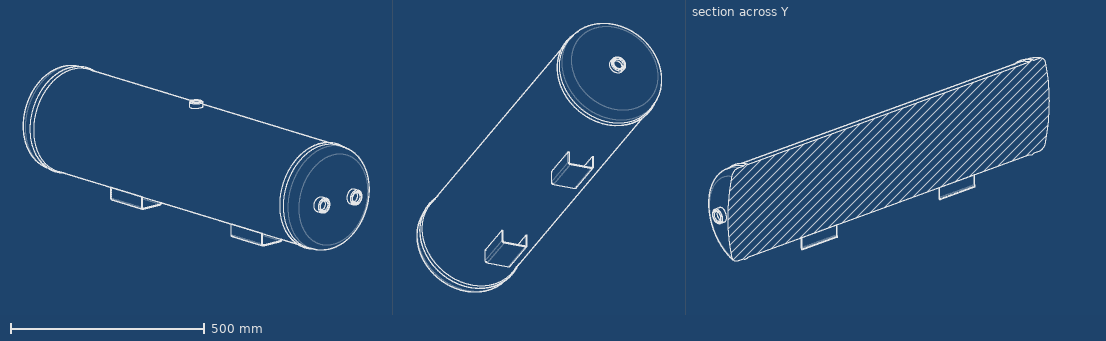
import cadquery as cq
import math

SHELL_RADIUS = 276 / 2
BEAD_RADIUS = 282 / 2
BEAD_INNER_X = 472.5
BEAD_WIDTH = 14
KNUCKLE_START_X = 504.5
KNUCKLE_RADIUS = 23
DOME_RADIUS = 510

END_PORT_DIAMETER = 40
END_PORT_BORE = 26.4
END_PORT_FACE_X = 1111 / 2
END_PORT_OFFSET = 56
TOP_PORT_DIAMETER = 35
TOP_PORT_BORE = 20.95
TOP_PORT_FACE_Z = 152
PORT_LENGTH = 35
PORT_CHAMFER = 2.5
COUNTERSINK = 2.5
BORE_DEPTH = 12
DRILL_POINT_ANGLE = 118

FOOT_BOTTOM = -170
FOOT_TOP = -124
FOOT_LENGTH = 118
FOOT_WIDTH = 70
FOOT_SHEET = 3
FOOT_BEND_RADIUS = 6
FOOT_SPACING = 462


def make_head():
    """Domed +X head: weld bead, straight flange, knuckle and dome, revolved about X."""
    bead_outer_x = BEAD_INNER_X + BEAD_WIDTH
    knuckle_centre_y = SHELL_RADIUS - KNUCKLE_RADIUS
    centre_distance = DOME_RADIUS - KNUCKLE_RADIUS
    meeting_angle = math.asin(knuckle_centre_y / centre_distance)
    dome_centre_x = KNUCKLE_START_X - centre_distance * math.cos(meeting_angle)

    def on_knuckle(angle):
        return (
            KNUCKLE_START_X + KNUCKLE_RADIUS * math.cos(angle),
            knuckle_centre_y + KNUCKLE_RADIUS * math.sin(angle),
        )

    def on_dome(angle):
        return (
            dome_centre_x + DOME_RADIUS * math.cos(angle),
            DOME_RADIUS * math.sin(angle),
        )

    return (
        cq.Workplane("XY")
        .moveTo(BEAD_INNER_X, 0)
        .lineTo(BEAD_INNER_X, SHELL_RADIUS)
        .threePointArc((BEAD_INNER_X + BEAD_WIDTH / 2, BEAD_RADIUS), (bead_outer_x, SHELL_RADIUS))
        .lineTo(KNUCKLE_START_X, SHELL_RADIUS)
        .threePointArc(on_knuckle((meeting_angle + math.pi / 2) / 2), on_knuckle(meeting_angle))
        .threePointArc(on_dome(meeting_angle / 2), on_dome(0))
        .close()
        .revolve(360, (0, 0, 0), (1, 0, 0))
    )


def make_body():
    """Cylindrical shell closed by two equal heads."""
    shell = cq.Workplane("YZ", origin=(-BEAD_INNER_X, 0, 0)).circle(SHELL_RADIUS).extrude(2 * BEAD_INNER_X)
    head = make_head()
    return shell.union(head).union(head.mirror("YZ"))


def make_bore(face, diameter):
    """Blind countersunk hole with a drill point, running into the part from a face plane."""
    radius = diameter / 2
    point_depth = radius / math.tan(math.radians(DRILL_POINT_ANGLE / 2))
    return (
        cq.Workplane(face)
        .transformed(rotate=(90, 0, 0))
        .lineTo(radius + COUNTERSINK, 0)
        .lineTo(radius, -COUNTERSINK)
        .lineTo(radius, -BORE_DEPTH)
        .lineTo(0, -BORE_DEPTH - point_depth)
        .close()
        .revolve(360, (0, 0, 0), (0, 1, 0))
    )


def add_port(body, face_centre, outward, diameter, bore):
    """Chamfered boss whose end face lies at face_centre and looks outward, with a blind bore."""
    face = cq.Plane(origin=face_centre, xDir=(0, 1, 0), normal=outward)
    port = (
        cq.Workplane(face)
        .circle(diameter / 2)
        .extrude(-PORT_LENGTH)
        .faces(cq.DirectionMinMaxSelector(cq.Vector(*outward), True))
        .chamfer(PORT_CHAMFER)
    )
    return body.union(port).cut(make_bore(face, bore))


def add_end_port(body, direction, y):
    """Port on the head that faces the given X direction (+1 or -1)."""
    face_centre = (direction * END_PORT_FACE_X, y, 0)
    return add_port(body, face_centre, (direction, 0, 0), END_PORT_DIAMETER, END_PORT_BORE)


def add_top_port(body):
    """Smaller port on top of the shell, halfway along the tank."""
    return add_port(body, (0, 0, TOP_PORT_FACE_Z), (0, 0, 1), TOP_PORT_DIAMETER, TOP_PORT_BORE)


def make_foot(x):
    """Sheet channel open towards the tank, its legs ending inside the shell outline."""
    inner_width = FOOT_WIDTH - 2 * FOOT_SHEET
    outer = (
        cq.Workplane("XY", origin=(x, 0, FOOT_BOTTOM))
        .rect(FOOT_LENGTH, FOOT_WIDTH)
        .extrude(FOOT_TOP - FOOT_BOTTOM)
        .edges("|X and <Z")
        .fillet(FOOT_BEND_RADIUS)
    )
    inner = (
        cq.Workplane("XY", origin=(x, 0, FOOT_BOTTOM + FOOT_SHEET))
        .rect(FOOT_LENGTH, inner_width)
        .extrude(FOOT_TOP - FOOT_BOTTOM)
        .edges("|X and <Z")
        .fillet(FOOT_BEND_RADIUS - FOOT_SHEET)
    )
    return outer.cut(inner)


result = make_body()
for side in (-1, 1):
    result = result.union(make_foot(side * FOOT_SPACING / 2))
result = add_end_port(result, -1, 0)
for side in (-1, 1):
    result = add_end_port(result, 1, side * END_PORT_OFFSET)
result = add_top_port(result)